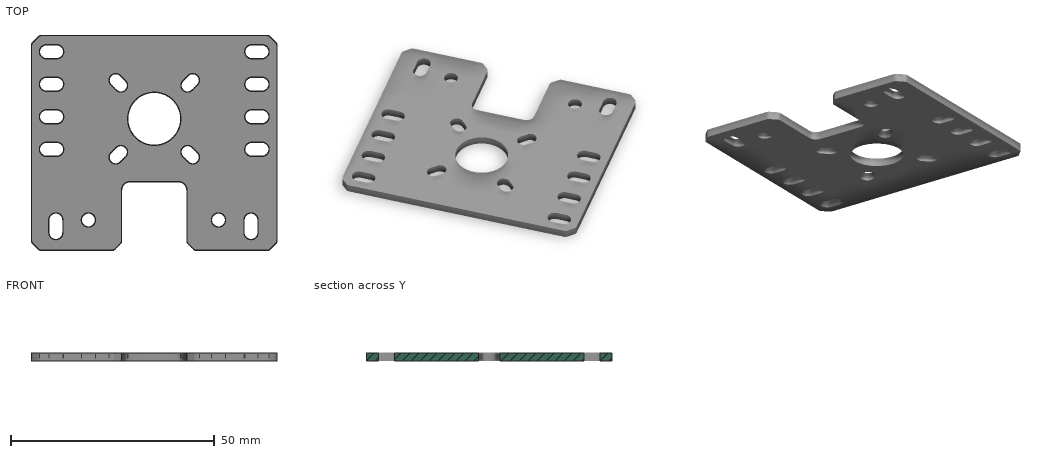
import cadquery as cq

width = 60.4
depth = 52.89
thickness = 2.0
corner_chamfer = 2.0
chamfer_blend_radius = 1.0
top_edge = depth / 2
bottom_edge = -depth / 2

notch_width = 16.0
notch_depth = 16.89
notch_fillet = 2.0

bore_diameter = 13.0
bore_inset = 20.5
bore_y = top_edge - bore_inset
diagonal_slot_radius = 12.5
diagonal_slot_width = 3.2
diagonal_slot_length = 5.0
diagonal_slot_angles = (45, 135, 225, 315)

screw_clearance = 3.4
side_slot_length = 5.9
side_slot_x = 25.25
side_slot_pitch = 8.0
side_slot_count = 4
first_side_slot_inset = 4.0
first_side_slot_y = top_edge - first_side_slot_inset

lower_group_x = -0.2
screw_hole_x = 16.0
screw_hole_inset = 7.5
screw_hole_y = bottom_edge + screw_hole_inset
upright_slot_length = 6.5
upright_slot_x = 24.0
upright_slot_y = screw_hole_y - (upright_slot_length - screw_clearance) / 2


def make_plate():
    """Plate with an open notch; every outer corner is chamfered and blended."""
    half_width = width / 2
    half_notch = notch_width / 2
    notch_top = bottom_edge + notch_depth
    c = corner_chamfer
    right_side = [
        (half_notch, notch_top),
        (half_notch, bottom_edge + c),
        (half_notch + c, bottom_edge),
        (half_width - c, bottom_edge),
        (half_width, bottom_edge + c),
        (half_width, top_edge - c),
        (half_width - c, top_edge),
    ]
    left_side = [(-x, y) for x, y in reversed(right_side)]
    plate = cq.Workplane("XY").polyline(right_side + left_side).close().extrude(thickness)

    notch_corners = cq.selectors.BoxSelector(
        (-notch_width, notch_top - c / 2, -thickness),
        (notch_width, notch_top + c / 2, 2 * thickness),
    )
    plate = plate.edges("|Z").edges(notch_corners).fillet(notch_fillet)

    for x, y in right_side[1:] + left_side[:-1]:
        chamfer_end = cq.selectors.NearestToPointSelector((x, y, thickness / 2))
        plate = plate.edges("|Z").edges(chamfer_end).fillet(chamfer_blend_radius)
    return plate


def slot_cutter(x, y, length, slot_width, angle):
    """Through slot centred at (x, y) with its long axis at the given angle."""
    return cq.Workplane("XY").center(x, y).slot2D(length, slot_width, angle).extrude(thickness)


def hole_cutter(x, y, diameter):
    """Round through hole centred at (x, y)."""
    return cq.Workplane("XY").center(x, y).circle(diameter / 2).extrude(thickness)


def cut_bore_pattern(plate):
    """Central bore with slots pointing radially away from it."""
    plate = plate.cut(hole_cutter(0, bore_y, bore_diameter))
    for angle in diagonal_slot_angles:
        slot = slot_cutter(diagonal_slot_radius, 0, diagonal_slot_length, diagonal_slot_width, 0)
        slot = slot.rotate((0, 0, 0), (0, 0, 1), angle).translate((0, bore_y, 0))
        plate = plate.cut(slot)
    return plate


def cut_side_features(plate, side):
    """Slots and screw hole on one side of the plate; side is -1 or +1 along X."""
    for row in range(side_slot_count):
        y = first_side_slot_y - row * side_slot_pitch
        plate = plate.cut(slot_cutter(side * side_slot_x, y, side_slot_length, screw_clearance, 0))

    hole_x = lower_group_x + side * screw_hole_x
    plate = plate.cut(hole_cutter(hole_x, screw_hole_y, screw_clearance))

    slot_x = lower_group_x + side * upright_slot_x
    return plate.cut(slot_cutter(slot_x, upright_slot_y, upright_slot_length, screw_clearance, 90))


result = cut_bore_pattern(make_plate())
for side in (-1, 1):
    result = cut_side_features(result, side)